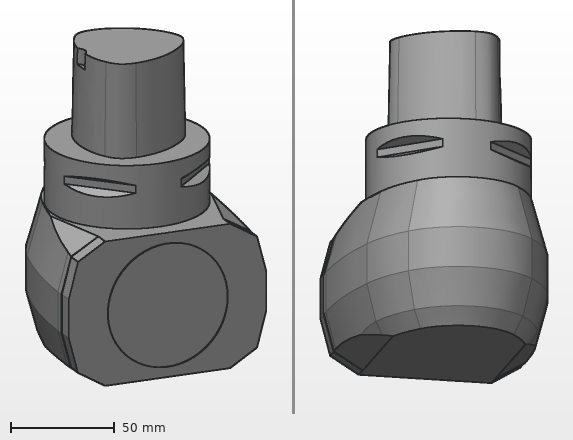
import cadquery as cq
import math

CHAMFER_TOP = 8.6
BAND_BOTTOM = 27.0
BAND_TOP = 46.8
HOUSING_TOP = 73.8
COLLAR_TOP = 106.1
TOTAL_HEIGHT = 154.0

NOSE_X = -59.1
NOSE_RADIUS = 39.96
SHOULDER_RADIUS = 71.9
NOSE_ANGLE = 50.0
SHOULDER_ANGLE = 74.4
HALF_WIDTH = 52.28
UPPER_TAPER = 15.5
LOWER_TAPER = 15.0
CHAMFER_TAPER = 30.0

END_BLOCK_X = 41.3
END_FACE_X = 49.5
END_BLOCK_HALF_WIDTH = 51.9
FACET_INNER_Y = 32.8
FACET_OUTER_Y = 47.5
UPPER_FACET_HEIGHT = 8.5
UPPER_FACET_TIP = (4.3, 42.2)
FACE_DISC_DIAMETER = 63.0
FACE_DISC_X = 49.9
FACE_DISC_Z = (BAND_BOTTOM + BAND_TOP) / 2

COLLAR_DIAMETER = 80.0
SLOT_Z = 94.0
SLOT_FLOOR_RADIUS = 35.4
SLOT_FLOOR_HEIGHT = 3.8
SLOT_FLANK_ANGLE = 30.0

SHANK_BASE_RADIUS = 27.4
SHANK_TOP_RADIUS = 26.5
LOBE_HEIGHT = 2.3
KEY_RADIUS = 5.93
KEY_DEPTH = 2.3
KEY_HEIGHT = 8.0

OVERSIZE = 61.6


def step_on_arc(start, radius, first_angle, last_angle):
    """Point reached along an outline arc; angles are of its outward normal from -X."""
    a, b = math.radians(first_angle), math.radians(last_angle)
    return (start[0] + radius * (math.cos(a) - math.cos(b)),
            start[1] + radius * (math.sin(b) - math.sin(a)))


def mirrored(point):
    return (point[0], -point[1])


NOSE_TIP = (NOSE_X, 0)
NOSE_END = step_on_arc(NOSE_TIP, NOSE_RADIUS, 0, NOSE_ANGLE)
SHOULDER_MID = step_on_arc(NOSE_END, SHOULDER_RADIUS, NOSE_ANGLE, (NOSE_ANGLE + SHOULDER_ANGLE) / 2)
SHOULDER_END = step_on_arc(NOSE_END, SHOULDER_RADIUS, NOSE_ANGLE, SHOULDER_ANGLE)
SIDE_RADIUS = (HALF_WIDTH - SHOULDER_END[1]) / (1 - math.sin(math.radians(SHOULDER_ANGLE)))
SIDE_MID = step_on_arc(SHOULDER_END, SIDE_RADIUS, SHOULDER_ANGLE, (SHOULDER_ANGLE + 90) / 2)
SIDE_END = step_on_arc(SHOULDER_END, SIDE_RADIUS, SHOULDER_ANGLE, 90)
STOCK_X = END_FACE_X + OVERSIZE


def nose_arcs(sketch):
    """Continue from the +Y shoulder end around the nose to the -Y shoulder end."""
    return (
        sketch.threePointArc(SHOULDER_MID, NOSE_END)
        .threePointArc(NOSE_TIP, mirrored(NOSE_END))
        .threePointArc(mirrored(SHOULDER_MID), mirrored(SHOULDER_END))
    )


def housing_outline(z):
    sketch = cq.Workplane("XY", origin=(0, 0, z)).moveTo(STOCK_X, HALF_WIDTH).lineTo(*SIDE_END)
    sketch = nose_arcs(sketch.threePointArc(SIDE_MID, SHOULDER_END))
    return (
        sketch.threePointArc(mirrored(SIDE_MID), mirrored(SIDE_END))
        .lineTo(STOCK_X, -HALF_WIDTH)
        .close()
    )


def chamfer_outline(z):
    """Nose outline continued by straight tangents instead of the side arcs."""
    run = STOCK_X - SHOULDER_END[0]
    corner = (STOCK_X, SHOULDER_END[1] + run / math.tan(math.radians(SHOULDER_ANGLE)))
    sketch = cq.Workplane("XY", origin=(0, 0, z)).moveTo(*corner).lineTo(*SHOULDER_END)
    return nose_arcs(sketch).lineTo(*mirrored(corner)).close()


def box_between(low, high):
    size = [b - a for a, b in zip(low, high)]
    return cq.Workplane("XY").box(*size, centered=False).translate(low)


def both_sides(cutter):
    return cutter.union(cutter.mirror("XZ"))


def lower_facets():
    """Corner cutters running the whole length of the underside."""
    slope = CHAMFER_TOP / (FACET_OUTER_Y - FACET_INNER_Y)
    outer_y = HALF_WIDTH + OVERSIZE
    cutter = (
        cq.Workplane("YZ", origin=(NOSE_X - OVERSIZE, 0, 0))
        .polyline([(FACET_INNER_Y, 0), (outer_y, slope * (outer_y - FACET_INNER_Y)), (outer_y, 0)])
        .close()
        .extrude(STOCK_X - NOSE_X + OVERSIZE)
    )
    return both_sides(cutter)


def upper_facet_section(workplane):
    """Triangle removed from the +Y top corner, continued past the side of the part."""
    slope = UPPER_FACET_HEIGHT / (FACET_OUTER_Y - FACET_INNER_Y)
    drop = slope * (HALF_WIDTH + OVERSIZE - FACET_INNER_Y)
    return workplane.polyline([
        (FACET_INNER_Y, HOUSING_TOP),
        (HALF_WIDTH + OVERSIZE, HOUSING_TOP),
        (HALF_WIDTH + OVERSIZE, HOUSING_TOP - drop),
    ]).close()


def upper_facets():
    """Slanted facets running from the end block toward the nose."""
    run_x = UPPER_FACET_TIP[0] - END_BLOCK_X
    run_y = UPPER_FACET_TIP[1] - FACET_INNER_Y
    direction = cq.Vector(run_x, run_y, 0).normalized() * OVERSIZE
    section = upper_facet_section(cq.Workplane("YZ", origin=(END_BLOCK_X, 0, 0)))
    face = cq.Face.makeFromWires(section.wires().val())
    slanted = cq.Workplane(cq.Solid.extrudeLinear(face, direction))
    return both_sides(slanted)


def make_end_block():
    corner_y = FACET_OUTER_Y - (HALF_WIDTH - END_BLOCK_HALF_WIDTH)
    half_section = [
        (FACET_INNER_Y, 0),
        (corner_y, CHAMFER_TOP),
        (END_BLOCK_HALF_WIDTH, BAND_BOTTOM),
        (END_BLOCK_HALF_WIDTH, BAND_TOP),
        (corner_y, HOUSING_TOP - UPPER_FACET_HEIGHT),
        (FACET_INNER_Y, HOUSING_TOP),
    ]
    other_half = [(-y, z) for y, z in reversed(half_section)]
    return (
        cq.Workplane("YZ", origin=(END_BLOCK_X, 0, 0))
        .polyline(half_section + other_half)
        .close()
        .extrude(END_FACE_X - END_BLOCK_X)
    )


def make_housing():
    upper = housing_outline(BAND_TOP).extrude(HOUSING_TOP - BAND_TOP, taper=UPPER_TAPER)
    band = housing_outline(BAND_BOTTOM).extrude(BAND_TOP - BAND_BOTTOM)
    lower = housing_outline(BAND_BOTTOM).extrude(-BAND_BOTTOM, taper=LOWER_TAPER)

    inset = (BAND_BOTTOM - CHAMFER_TOP) * math.tan(math.radians(LOWER_TAPER))
    cone_top = CHAMFER_TOP + inset / math.tan(math.radians(CHAMFER_TAPER))
    envelope = chamfer_outline(cone_top).extrude(-cone_top, taper=CHAMFER_TAPER)
    envelope = envelope.union(chamfer_outline(cone_top).extrude(BAND_BOTTOM - cone_top))

    housing = upper.union(band).union(lower.intersect(envelope))
    housing = housing.cut(lower_facets()).cut(upper_facets())
    trim = box_between((END_BLOCK_X, -STOCK_X, 0), (STOCK_X + OVERSIZE, STOCK_X, HOUSING_TOP))
    disc = (
        cq.Workplane("YZ", origin=(END_BLOCK_X, 0, FACE_DISC_Z))
        .circle(FACE_DISC_DIAMETER / 2)
        .extrude(FACE_DISC_X - END_BLOCK_X)
    )
    return housing.cut(trim).union(make_end_block()).union(disc)


def make_collar():
    collar = (
        cq.Workplane("XY", origin=(0, 0, HOUSING_TOP))
        .circle(COLLAR_DIAMETER / 2)
        .extrude(COLLAR_TOP - HOUSING_TOP)
    )
    mouth_radius = COLLAR_DIAMETER / 2 + 1.5
    floor_half = SLOT_FLOOR_HEIGHT / 2
    flank_rise = (mouth_radius - SLOT_FLOOR_RADIUS) * math.tan(math.radians(SLOT_FLANK_ANGLE))
    mouth_half = floor_half + flank_rise
    slot = (
        cq.Workplane("XZ")
        .polyline([
            (SLOT_FLOOR_RADIUS, SLOT_Z - floor_half),
            (mouth_radius, SLOT_Z - mouth_half),
            (mouth_radius, SLOT_Z + mouth_half),
            (SLOT_FLOOR_RADIUS, SLOT_Z + floor_half),
        ])
        .close()
        .extrude(COLLAR_DIAMETER / 2, both=True)
    )
    for angle in (45, 135, 225, 315):
        collar = collar.cut(slot.rotate((0, 0, 0), (0, 0, 1), angle))
    return collar


def lobed_wire(mean_radius, z):
    """Constant-width three-lobed curve with one lobe toward +Y."""
    def point(degrees):
        t = math.radians(degrees)
        reach = mean_radius - LOBE_HEIGHT * math.sin(3 * t)
        swing = -3 * LOBE_HEIGHT * math.cos(3 * t)
        return cq.Vector(reach * math.cos(t) - swing * math.sin(t),
                         reach * math.sin(t) + swing * math.cos(t), z)

    def tangent(degrees):
        t = math.radians(degrees)
        return cq.Vector(-math.sin(t), math.cos(t), 0)

    edges = []
    for start in range(0, 360, 60):
        end = start + 60
        points = [point(start + step) for step in range(0, 61, 15)]
        edges.append(cq.Edge.makeSpline(points, tangents=[tangent(start), tangent(end)]))
    return cq.Wire.assembleEdges(edges)


def make_shank():
    base = lobed_wire(SHANK_BASE_RADIUS, COLLAR_TOP)
    top = lobed_wire(SHANK_TOP_RADIUS, TOTAL_HEIGHT)
    shank = cq.Workplane(cq.Solid.makeLoft([base, top], True))
    flat_side_y = LOBE_HEIGHT - SHANK_TOP_RADIUS
    key_y = flat_side_y + KEY_DEPTH - KEY_RADIUS
    key_notch = (
        cq.Workplane("XY", origin=(0, key_y, TOTAL_HEIGHT - KEY_HEIGHT))
        .circle(KEY_RADIUS)
        .extrude(KEY_HEIGHT)
    )
    return shank.cut(key_notch)


result = make_housing().union(make_collar()).union(make_shank())